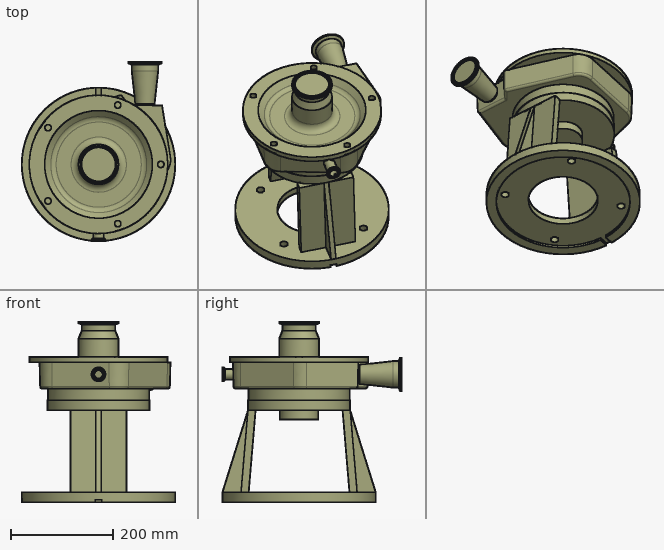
import cadquery as cq
import math

base_thickness = 20.0
leg_top_z = 179.7
housing_split_z = 199.8
casing_bottom_z = 222.0
casing_top_z = 273.2
cover_top_z = 284.0
inlet_shoulder_z = 319.8
inlet_neck_z = 335.5
inlet_end_z = 353.0
nozzle_axis_z = 250.0

base_radius = 150.0
base_bore_radius = 67.8
base_hole_count = 4
base_hole_start_angle = 45
base_hole_diameter = 15.0
base_hole_circle_radius = 114.5
notch_width = 12.5
foot_ring_inner_radius = 130.5
foot_ring_height = 5.3

leg_width = 110.0
leg_thickness = 15.2
leg_lean = 13.5
rib_thickness = 10.0
rib_foot_y = 149.5

housing_lower_radius = 100.0
housing_upper_radius = 99.2
hub_radius = 37.8
hub_bottom_z = 161.3

casing_side_count = 5
casing_apothem = 115.5
casing_corner_radius = 34.5
casing_tip_radius = 3.5
casing_draft = 1.5
casing_bottom_fillet = 5.0
outlet_face_y = 115.5
outlet_corner_x = 124.3

cover_radius = 135.2
cover_hole_count = 5
cover_hole_diameter = 12.5
cover_hole_circle_radius = 121.8
dish_rim_radius = 105.2
dish_depth = 16.0
dish_fillet = 15.0

inlet_radius = 39.2
inlet_neck_radius = 33.0

outlet_axis_x = 90.7
outlet_end_y = 200.5
outlet_mouth_radius = 26.0
outlet_root_radius = 19.0
outlet_mouth_length = 17.5
outlet_ferrule_radius = 33.0
outlet_root_chamfer = 3.2

drain_radius = 10.5
drain_bore_radius = 8.0
drain_ferrule_radius = 13.5
drain_end_y = -base_radius

rim_thickness = 3.2
ferrule_length = 6.0
groove_offset = 0.5
groove_width = 3.0
groove_depth = 1.0


def cylinder(radius, bottom_z, top_z):
    return cq.Workplane("XY").workplane(offset=bottom_z).circle(radius).extrude(top_z - bottom_z)


def ferrule_nozzle(body_profile, pipe_radius, rim_radius):
    """Revolve a pipe along +Z that ends at Z = 0 in a grooved clamp ferrule.

    body_profile lists the (radius, Z) points below the ferrule, from the root up.
    """
    root_z = body_profile[0][1]
    groove_inner = pipe_radius + groove_offset
    groove_outer = groove_inner + groove_width
    profile = [(0, root_z)]
    profile += body_profile
    profile += [
        (pipe_radius, -ferrule_length),
        (rim_radius, -rim_thickness),
        (rim_radius, 0),
        (groove_outer, 0),
        (groove_outer, -groove_depth),
        (groove_inner, -groove_depth),
        (groove_inner, 0),
        (0, 0),
    ]
    return cq.Workplane("XZ").polyline(profile).close().revolve(360, (0, 0), (0, 1))


def make_base():
    base = cylinder(base_radius, 0, base_thickness).cut(cylinder(base_bore_radius, 0, base_thickness))
    holes = (
        cq.Workplane("XY")
        .polarArray(base_hole_circle_radius, base_hole_start_angle, 360, base_hole_count)
        .circle(base_hole_diameter / 2)
        .extrude(base_thickness)
    )
    recess = cylinder(foot_ring_inner_radius, 0, foot_ring_height)
    notch = (
        cq.Workplane("XY")
        .box(notch_width, base_radius, foot_ring_height, centered=(True, False, False))
        .translate((0, -base_radius, 0))
    )
    return base.cut(holes).cut(recess).cut(notch)


def make_front_leg():
    top_y = housing_lower_radius
    foot_y = top_y + leg_lean
    plate_profile = [
        (-top_y, leg_top_z),
        (leg_thickness - top_y, leg_top_z),
        (leg_thickness - foot_y, base_thickness),
        (-foot_y, base_thickness),
    ]
    rib_profile = [
        (-top_y, leg_top_z),
        (-foot_y, base_thickness),
        (-rib_foot_y, base_thickness),
    ]
    plate = cq.Workplane("YZ").polyline(plate_profile).close().extrude(leg_width / 2, both=True)
    rib = cq.Workplane("YZ").polyline(rib_profile).close().extrude(rib_thickness / 2, both=True)
    return plate.union(rib)


def make_housing():
    lower = cylinder(housing_lower_radius, leg_top_z, housing_split_z)
    upper = cylinder(housing_upper_radius, housing_split_z, casing_bottom_z)
    hub = cylinder(hub_radius, hub_bottom_z, leg_top_z)
    return lower.union(upper).union(hub)


def make_casing():
    half_side_angle = math.pi / casing_side_count
    vertex_radius = casing_apothem / math.cos(half_side_angle)

    def vertex(index):
        turn = 2 * half_side_angle * index
        return (vertex_radius * math.cos(turn), vertex_radius * math.sin(turn))

    tip_x, tip_y = vertex(1)
    shoulder_x = tip_x + (tip_y - outlet_face_y) * math.tan(half_side_angle)
    outline = [
        vertex(0),
        (outlet_corner_x, outlet_face_y),
        (shoulder_x, outlet_face_y),
        vertex(1),
        vertex(2),
        vertex(3),
        vertex(4),
        vertex(0),
    ]
    sketch = cq.Sketch().polygon(outline)
    for corner in (">X", "<X", "<Y"):
        sketch = sketch.reset().vertices(corner).fillet(casing_corner_radius)
    sketch = sketch.reset().vertices(">Y").fillet(casing_tip_radius).reset()
    casing = (
        cq.Workplane("XY")
        .workplane(offset=casing_top_z)
        .placeSketch(sketch)
        .extrude(casing_bottom_z - casing_top_z, taper=casing_draft)
    )
    return casing.faces("<Z").edges().fillet(casing_bottom_fillet)


def make_cover():
    cover = cylinder(cover_radius, casing_top_z, cover_top_z)
    holes = (
        cq.Workplane("XY")
        .workplane(offset=casing_top_z)
        .polarArray(cover_hole_circle_radius, 0, 360, cover_hole_count)
        .circle(cover_hole_diameter / 2)
        .extrude(cover_top_z - casing_top_z)
    )
    return cover.cut(holes)


def make_dish():
    """Ring-shaped recess around the inlet with a 45-degree outer wall and a rounded floor."""
    floor_z = cover_top_z - dish_depth
    profile = [
        (inlet_radius, floor_z),
        (dish_rim_radius - dish_depth, floor_z),
        (dish_rim_radius, cover_top_z),
        (inlet_radius, cover_top_z),
    ]
    dish = cq.Workplane("XZ").polyline(profile).close().revolve(360, (0, 0), (0, 1))
    return dish.faces("<Z").edges().fillet(dish_fillet)


def make_inlet():
    profile = [
        (inlet_radius, casing_top_z - inlet_end_z),
        (inlet_radius, inlet_shoulder_z - inlet_end_z),
        (inlet_neck_radius, inlet_neck_z - inlet_end_z),
    ]
    return ferrule_nozzle(profile, inlet_neck_radius, inlet_radius).translate((0, 0, inlet_end_z))


def make_outlet():
    root = outlet_face_y - outlet_end_y
    profile = [
        (outlet_root_radius - outlet_root_chamfer, root - casing_bottom_fillet),
        (outlet_root_radius - outlet_root_chamfer, root),
        (outlet_root_radius, root + outlet_root_chamfer),
        (outlet_mouth_radius, -outlet_mouth_length),
    ]
    outlet = ferrule_nozzle(profile, outlet_mouth_radius, outlet_ferrule_radius)
    return outlet.rotate((0, 0, 0), (1, 0, 0), -90).translate((outlet_axis_x, outlet_end_y, nozzle_axis_z))


def make_drain():
    length = -drain_end_y - casing_apothem / 2
    drain = ferrule_nozzle([(drain_radius, -length)], drain_radius, drain_ferrule_radius)
    drain = drain.cut(cylinder(drain_bore_radius, -length, 0))
    return drain.rotate((0, 0, 0), (1, 0, 0), 90).translate((0, drain_end_y, nozzle_axis_z))


front_leg = make_front_leg()

result = (
    make_base()
    .union(front_leg)
    .union(front_leg.mirror("XZ"))
    .union(make_housing())
    .union(make_drain())
    .union(make_casing())
    .union(make_cover())
    .cut(make_dish())
    .union(make_inlet())
    .union(make_outlet())
)